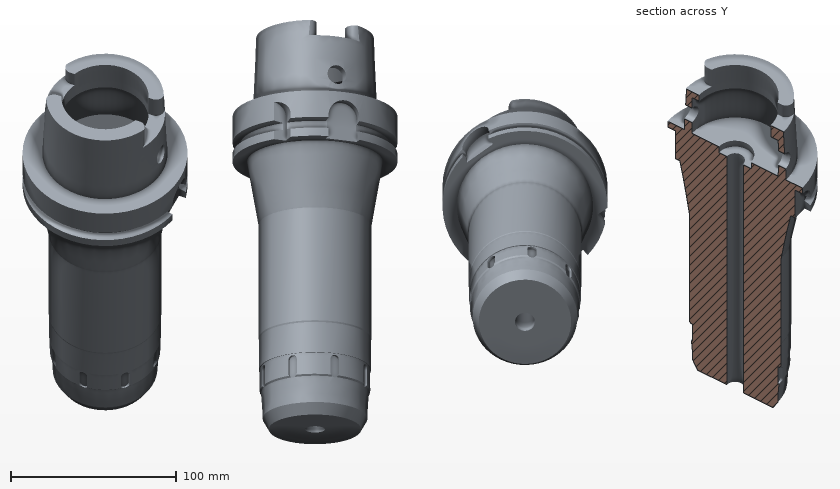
import cadquery as cq
import math

overall_length = 250.0

shank_length = 50.0
shank_top_radius = 35.8
shank_base_radius = 38.0
bore_radius = 26.5
bore_lip_depth = 20.0
undercut_radius = 31.8
cavity_depth = 50.0
coolant_hole_radius = 6.0
coolant_recess_radius = 11.8
coolant_recess_depth = 5.0
cross_hole_radius = 6.0
cross_hole_height = 215.2

lug_gap = 20.0
lug_corner_radius = 5.0
lug_end_offset = 32.2
left_slot_depth = 10.0
right_slot_depth = 14.5

flange_radius = 50.0
flange_thickness = 29.0
groove_radius = 45.5
groove_top = 183.0
groove_bottom = 176.2
groove_lower_side_height = 1.5
groove_upper_side_height = 1.0

keyway_width = 20.0
keyway_top = 194.8
keyway_floor = 44.5
notch_width = 17.5
notch_offset = 39.8
notch_floor = 31.5

neck_top_radius = 41.2
body_radius = 34.2
neck_bottom = 130.5
collar_top = 57.2
collar_step_height = 1.0
collar_radius = 34.0

nut_top = 38.0
nut_radius = 33.5
nut_lip_top = 24.2
nut_lip_bottom = 23.2
nose_top_radius = 32.8
nose_bottom_radius = 31.8
nose_chamfer_height = 6.8
nose_end_radius = 28.0

spanner_slot_count = 8
spanner_slot_width = 5.5
spanner_slot_depth = 1.8
spanner_slot_top = 37.0
spanner_slot_bottom = 23.0

flange_top = overall_length - shank_length
flange_bottom = flange_top - flange_thickness


def turned_body():
    """Outer shape, revolved about Z from (radius, height) points."""
    outline = [
        (0, 0),
        (nose_end_radius, 0),
        (nose_bottom_radius, nose_chamfer_height),
        (nose_top_radius, nut_lip_bottom),
        (nut_radius, nut_lip_top),
        (nut_radius, nut_top),
        (collar_radius, nut_top),
        (collar_radius, collar_top),
        (body_radius, collar_top + collar_step_height),
        (body_radius, neck_bottom),
        (neck_top_radius, flange_bottom),
        (flange_radius, flange_bottom),
        (flange_radius, groove_bottom),
        (groove_radius, groove_bottom + groove_lower_side_height),
        (groove_radius, groove_top - groove_upper_side_height),
        (flange_radius, groove_top),
        (flange_radius, flange_top),
        (shank_base_radius, flange_top),
        (shank_top_radius, overall_length),
        (0, overall_length),
    ]
    return cq.Workplane("YZ").polyline(outline).close().revolve(360, (0, 0, 0), (0, 1, 0))


def cavity():
    """Undercut bore, coolant recess and coolant hole along the axis."""
    def cylinder(radius, top, depth):
        return cq.Workplane("XY").workplane(offset=top - depth).circle(radius).extrude(depth)

    cavity_floor = overall_length - cavity_depth
    lip = cylinder(bore_radius, overall_length, cavity_depth)
    undercut = cylinder(undercut_radius, overall_length - bore_lip_depth, cavity_depth - bore_lip_depth)
    recess = cylinder(coolant_recess_radius, cavity_floor, coolant_recess_depth)
    coolant_hole = cylinder(coolant_hole_radius, overall_length, overall_length)
    return lip.union(undercut).union(recess).union(coolant_hole)


def drive_slot(side, depth):
    """Slot between the lug ends on one side of X, flaring outward round the lug corners."""
    half_gap = lug_gap / 2
    arc_start = lug_end_offset - lug_corner_radius
    arc_end = half_gap + lug_corner_radius
    bend = lug_corner_radius * math.sqrt(0.5)
    arc_middle = (lug_end_offset - lug_corner_radius + bend, arc_end - bend)
    outside = flange_radius
    return (
        cq.Workplane("XY")
        .workplane(offset=overall_length - depth)
        .moveTo(0, -half_gap)
        .lineTo(side * arc_start, -half_gap)
        .threePointArc((side * arc_middle[0], -arc_middle[1]), (side * lug_end_offset, -arc_end))
        .lineTo(side * lug_end_offset, -outside)
        .lineTo(side * outside, -outside)
        .lineTo(side * outside, outside)
        .lineTo(side * lug_end_offset, outside)
        .lineTo(side * lug_end_offset, arc_end)
        .threePointArc((side * arc_middle[0], arc_middle[1]), (side * arc_start, half_gap))
        .lineTo(0, half_gap)
        .close()
        .extrude(depth)
    )


def keyway(side, width, floor, y_center):
    """Round-topped slot cut along X into the flange rim, open at the flange underside."""
    half_width = width / 2
    arc_center = keyway_top - half_width
    return (
        cq.Workplane("YZ")
        .workplane(offset=side * floor)
        .moveTo(y_center - half_width, flange_bottom)
        .lineTo(y_center - half_width, arc_center)
        .threePointArc((y_center, keyway_top), (y_center + half_width, arc_center))
        .lineTo(y_center + half_width, flange_bottom)
        .close()
        .extrude(side * (flange_radius - floor))
    )


def spanner_slots():
    """Round-ended slots spaced evenly round the nut."""
    floor = nut_radius - spanner_slot_depth
    height = spanner_slot_top - spanner_slot_bottom
    slot = (
        cq.Workplane("XZ", origin=(0, -floor, spanner_slot_bottom + height / 2))
        .slot2D(height, spanner_slot_width, 90)
        .extrude(2 * spanner_slot_depth)
    )
    slots = slot
    for index in range(1, spanner_slot_count):
        turn = index * 360 / spanner_slot_count
        slots = slots.union(slot.rotate((0, 0, 0), (0, 0, 1), turn))
    return slots


cross_hole = (
    cq.Workplane("YZ")
    .center(0, cross_hole_height)
    .circle(cross_hole_radius)
    .extrude(flange_radius, both=True)
)

result = (
    turned_body()
    .cut(cavity())
    .cut(drive_slot(-1, left_slot_depth))
    .cut(drive_slot(1, right_slot_depth))
    .cut(cross_hole)
    .cut(keyway(-1, keyway_width, keyway_floor, 0))
    .cut(keyway(1, keyway_width, keyway_floor, 0))
    .cut(keyway(-1, notch_width, notch_floor, notch_offset))
    .cut(spanner_slots())
)